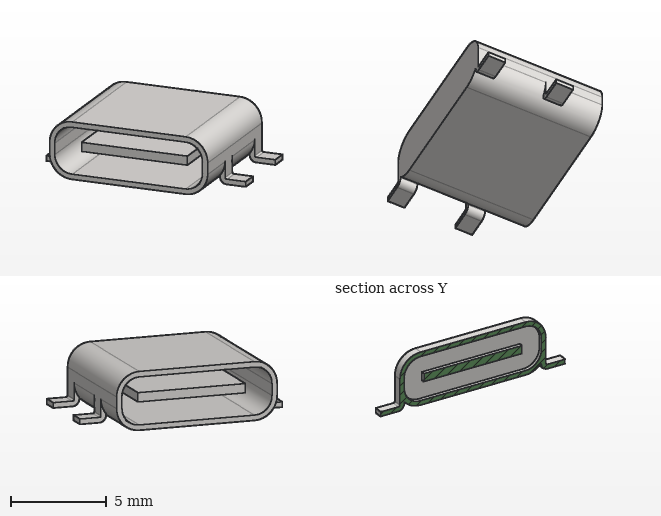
import cadquery as cq

span = 11.3
length = 7.35
height = 3.16
shell_width = 8.96
shell_radius = 1.27
wall = 0.29
back_wall = 0.29
tongue_width = 6.0
tongue_thickness = 0.5
tongue_recess = 0.79
leg_width = 1.0
leg_pitch = 4.0
bend_inner_radius = 0.09

front_y = -length / 2
back_y = length / 2
side_x = shell_width / 2
foot_tip_x = span / 2
bottom_z = -height / 2
foot_top_z = bottom_z + wall
bend_outer_radius = bend_inner_radius + wall
leg_top_z = height / 2 - shell_radius


def rounded_bar(width, bar_height, radius, start_y, bar_length):
    """Bar along +Y with its four long edges rounded."""
    return (
        cq.Workplane("XY")
        .box(width, bar_length, bar_height)
        .edges("|Y")
        .fillet(radius)
        .translate((0, start_y + bar_length / 2, 0))
    )


def make_shell():
    """Rounded sleeve, open at the front and closed at the rear."""
    outer = rounded_bar(shell_width, height, shell_radius, front_y, length)
    cavity = rounded_bar(
        shell_width - 2 * wall,
        height - 2 * wall,
        shell_radius - wall,
        front_y,
        length - back_wall,
    )
    return outer.cut(cavity)


def make_tongue():
    """Flat contact tongue reaching forward from the rear wall."""
    tongue_length = length - tongue_recess
    return cq.Workplane("XY").box(tongue_width, tongue_length, tongue_thickness).translate(
        (0, back_y - tongue_length / 2, 0)
    )


def make_leg(rear_y):
    """Bent strip on the -X side, with its rear edge at rear_y."""
    return (
        cq.Workplane("XZ", origin=(0, rear_y, 0))
        .moveTo(-foot_tip_x, bottom_z)
        .lineTo(-side_x + wall - bend_outer_radius, bottom_z)
        .radiusArc((-side_x + wall, bottom_z + bend_outer_radius), -bend_outer_radius)
        .lineTo(-side_x + wall, leg_top_z)
        .lineTo(-side_x, leg_top_z)
        .lineTo(-side_x, foot_top_z + bend_inner_radius)
        .radiusArc((-side_x - bend_inner_radius, foot_top_z), bend_inner_radius)
        .lineTo(-foot_tip_x, foot_top_z)
        .close()
        .extrude(leg_width)
    )


result = make_shell().union(make_tongue())
for leg_rear_y in (back_y, back_y - leg_pitch):
    leg = make_leg(leg_rear_y)
    result = result.union(leg).union(leg.mirror("YZ"))